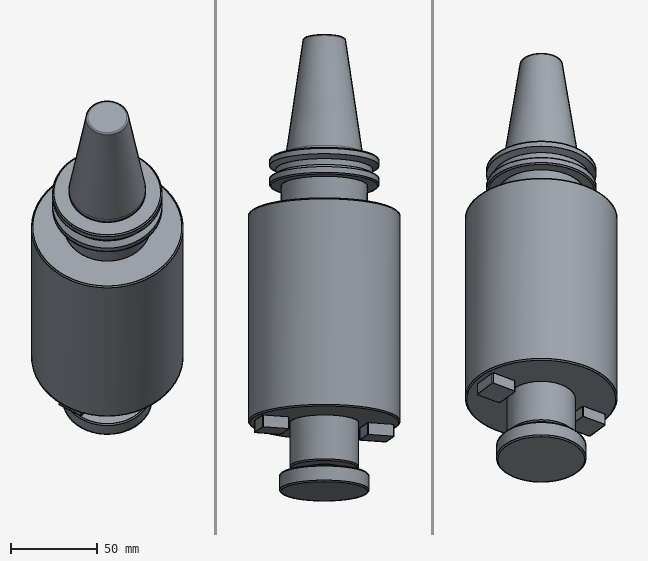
import cadquery as cq
import math

TOTAL_LENGTH = 269.5

TAPER_LENGTH = 68.5
GAUGE_DIAMETER = 44.5
TAPER_RATIO = 7 / 24
TAPER_TIP_FILLET = 1.0

COLLAR_LENGTH = 3.2
COLLAR_RELIEF_WIDTH = 0.5
COLLAR_RELIEF_DEPTH = 0.3
FLANGE_DIAMETER = 63.5
FLANGE_THICKNESS = 16.0
FLANGE_CHAMFER = 0.8
GROOVE_DIAMETER = 56.3
GROOVE_FLOOR_WIDTH = 3.5
GROOVE_WALL_ANGLE = 30.0
GROOVE_CENTRE_Z = -11.0

SHANK_DIAMETER = 50.0
BODY_DIAMETER = 88.0
BODY_TOP_Z = -36.0
BODY_BOTTOM_Z = -160.0
BODY_CHAMFER = 0.8

PILOT_DIAMETER = 40.0
PILOT_LENGTH = 27.0
PILOT_CHAMFER = 0.8
NECK_DIAMETER = 20.0
NECK_LENGTH = 4.0
HEAD_DIAMETER = 52.0
HEAD_CHAMFER = 0.8

KEY_WIDTH = 16.0
KEY_INNER_Y = 24.0
KEY_OUTER_Y = 40.1
KEY_HEIGHT = 7.0
KEY_CHAMFER = 0.5
KEY_ROOT = 2.7

FLANGE_TOP_Z = -COLLAR_LENGTH
FLANGE_BOTTOM_Z = FLANGE_TOP_Z - FLANGE_THICKNESS
PILOT_BOTTOM_Z = BODY_BOTTOM_Z - PILOT_LENGTH
HEAD_TOP_Z = PILOT_BOTTOM_Z - NECK_LENGTH
HEAD_BOTTOM_Z = TAPER_LENGTH - TOTAL_LENGTH


def cylinder(diameter, top_z, bottom_z):
    """Cylinder on the Z axis between two heights."""
    return cq.Workplane("XY").workplane(offset=bottom_z).circle(diameter / 2).extrude(top_z - bottom_z)


def make_taper():
    """Cone from the gauge plane up to the rounded tip."""
    tip_diameter = GAUGE_DIAMETER - TAPER_LENGTH * TAPER_RATIO
    cone = (
        cq.Workplane("XY")
        .circle(GAUGE_DIAMETER / 2)
        .workplane(offset=TAPER_LENGTH)
        .circle(tip_diameter / 2)
        .loft()
    )
    return cone.faces(">Z").fillet(TAPER_TIP_FILLET)


def make_flange():
    """Chamfered disc with a V-shaped groove around its rim."""
    disc = cylinder(FLANGE_DIAMETER, FLANGE_TOP_Z, FLANGE_BOTTOM_Z)
    disc = disc.faces("<Z or >Z").chamfer(FLANGE_CHAMFER)

    floor_radius = GROOVE_DIAMETER / 2
    rim_radius = FLANGE_DIAMETER / 2
    half_floor = GROOVE_FLOOR_WIDTH / 2
    half_mouth = half_floor + (rim_radius - floor_radius) * math.tan(math.radians(GROOVE_WALL_ANGLE))
    groove = (
        cq.Workplane("XZ")
        .moveTo(floor_radius, GROOVE_CENTRE_Z - half_floor)
        .lineTo(rim_radius, GROOVE_CENTRE_Z - half_mouth)
        .lineTo(rim_radius, GROOVE_CENTRE_Z + half_mouth)
        .lineTo(floor_radius, GROOVE_CENTRE_Z + half_floor)
        .close()
        .revolve(360, (0, 0, 0), (0, 1, 0))
    )
    return disc.cut(groove)


def make_key(side):
    """Drive key with chamfered upright edges on the +Y (side = 1) or -Y (side = -1) side."""
    key = cq.Workplane("XY").box(
        KEY_WIDTH, KEY_OUTER_Y - KEY_INNER_Y, KEY_HEIGHT + KEY_ROOT, centered=(True, True, False)
    )
    centre_y = side * (KEY_INNER_Y + KEY_OUTER_Y) / 2
    return key.edges("|Z").chamfer(KEY_CHAMFER).translate((0, centre_y, BODY_BOTTOM_Z - KEY_HEIGHT))


RELIEF_TOP_Z = FLANGE_TOP_Z + COLLAR_RELIEF_WIDTH
collar = cylinder(GAUGE_DIAMETER, 0, RELIEF_TOP_Z)
relief = cylinder(GAUGE_DIAMETER - 2 * COLLAR_RELIEF_DEPTH, RELIEF_TOP_Z, FLANGE_TOP_Z)
shank = cylinder(SHANK_DIAMETER, FLANGE_BOTTOM_Z, BODY_TOP_Z)
body = cylinder(BODY_DIAMETER, BODY_TOP_Z, BODY_BOTTOM_Z).faces("<Z or >Z").chamfer(BODY_CHAMFER)
pilot = cylinder(PILOT_DIAMETER, BODY_BOTTOM_Z, PILOT_BOTTOM_Z).faces("<Z").chamfer(PILOT_CHAMFER)
neck = cylinder(NECK_DIAMETER, PILOT_BOTTOM_Z, HEAD_TOP_Z)
head = cylinder(HEAD_DIAMETER, HEAD_TOP_Z, HEAD_BOTTOM_Z).faces("<Z or >Z").chamfer(HEAD_CHAMFER)

result = make_taper()
for section in (collar, relief, make_flange(), shank, body, pilot, neck, head):
    result = result.union(section)
for side in (1, -1):
    result = result.union(make_key(side))